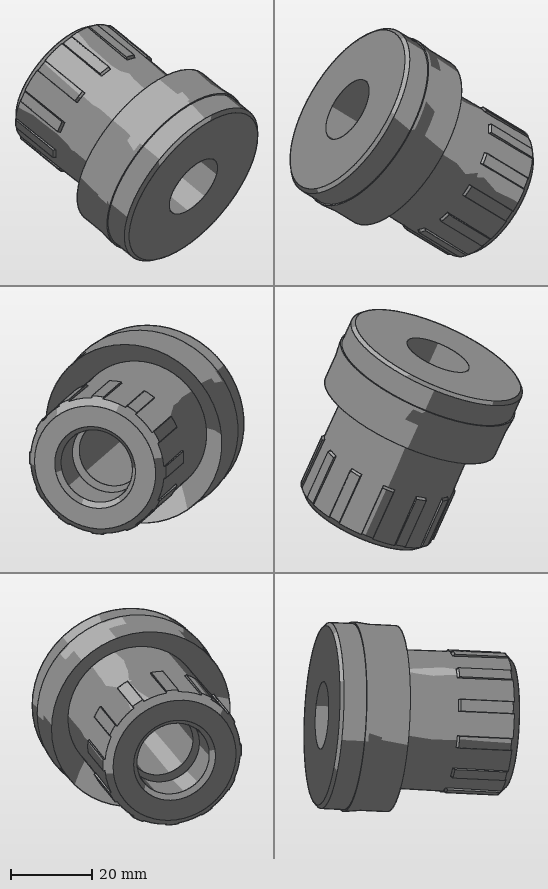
import cadquery as cq

total_length = 46.5
key_end = 15.65
flange_start = 28.95
ring_ramp_start = 35.6
ring_start = 39.0
ring_end = 39.95

flange_radius = 46.0 / 2
ring_radius = 46.8 / 2
nose_radius = 15.8
nose_chamfer = 1.65
sleeve_end_radius = 17.07
key_radius = 17.8
bore_radius = 16.65 / 2
counterbore_radius = 18.6 / 2

flange_chamfer = 0.85
dish_depth = 5.6
groove_start = 9.75
groove_end = 12.0
groove_radius = 24.05 / 2
counterbore_chamfer = 1.2
key_count = 12
key_width = 3.05
key_end_chamfer = 0.55


def revolve_about_x(points):
    """Turn a closed (x, radius) outline into a solid of revolution about X."""
    return cq.Workplane("XY").polyline(points).close().revolve(360, (0, 0, 0), (1, 0, 0))


def make_body():
    """Tapered sleeve and ringed flange, with a conical dish undercut in the flange face."""
    return revolve_about_x([
        (0, 0),
        (0, nose_radius),
        (nose_chamfer, nose_radius + nose_chamfer),
        (flange_start + dish_depth, sleeve_end_radius),
        (flange_start, flange_radius),
        (ring_ramp_start, flange_radius),
        (ring_start, ring_radius),
        (ring_end, ring_radius),
        (ring_end, flange_radius),
        (total_length - flange_chamfer, flange_radius),
        (total_length, flange_radius - flange_chamfer),
        (total_length, 0),
    ])


def make_keys():
    """Raised grip keys around the sleeve, following the nose chamfer at the front."""
    envelope = revolve_about_x([
        (0, 0),
        (0, nose_radius),
        (key_radius - nose_radius, key_radius),
        (key_end - key_end_chamfer, key_radius),
        (key_end, key_radius - key_end_chamfer),
        (key_end, 0),
    ])
    bars = cq.Workplane("XY")
    bar = cq.Workplane("XY").box(key_end, key_width, 2 * key_radius, centered=(False, True, True))
    for index in range(key_count // 2):
        bars = bars.union(bar.rotate((0, 0, 0), (1, 0, 0), index * 360 / key_count))
    return envelope.intersect(bars)


def make_bore():
    """Through bore with a chamfered entry and a wide internal groove in front of its shoulder."""
    return revolve_about_x([
        (0, 0),
        (0, counterbore_radius + counterbore_chamfer),
        (counterbore_chamfer, counterbore_radius),
        (groove_start, counterbore_radius),
        (groove_start, groove_radius),
        (groove_end, groove_radius),
        (groove_end, bore_radius),
        (total_length, bore_radius),
        (total_length, 0),
    ])


result = make_body().union(make_keys()).cut(make_bore())